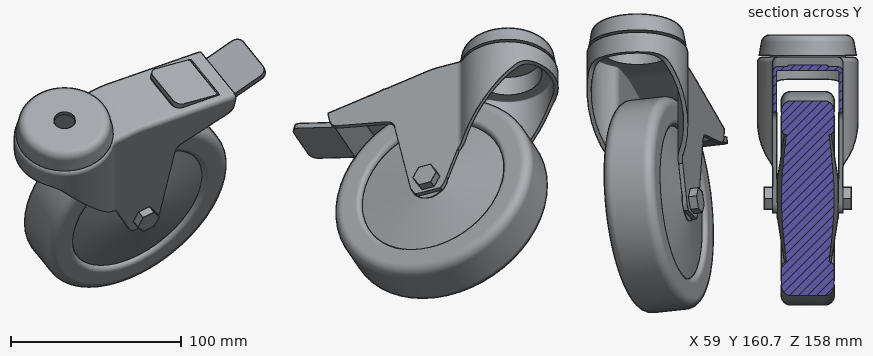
import cadquery as cq
import math


WHEEL_RADIUS = 62.5
WHEEL_OFFSET = 42.0
TYRE_HALF_WIDTH = 15.6
TYRE_ROUNDING = 5.75
RIM_RADIUS = 48.0
RIM_ROUNDING = 3.0
HUB_RADIUS = 11.5
DISH_HALF_WIDTH = 17.7

BOLT_RADIUS = 4.0
HEAD_ACROSS_FLATS = 13.0
HEAD_HEIGHT = 5.0

SHEET = 2.5
FORK_HALF_WIDTH = 20.5
FORK_TOP = 145.0
FORK_EDGE_ROUNDING = 3.0
HEAD_RADIUS = 29.5
HEAD_BLEND = 5.0
HEAD_SKIRT_Z = 132.0
SKIRT_ROUNDING = 12.0
FRONT_CUT_ANGLE = 51.0
FRONT_LEG_ANGLE = 21.0
REAR_LEG_ANGLE = 11.8
LEG_END_RADIUS = 11.5
LEG_BOTTOM_Z = 54.0
TOP_SLOPE = 10.8
TOP_BEND_Y = 39.0
TOP_BEND_RADIUS = 42.0
TAIL_LOWER_CORNER = (103.7, 120.4)
TAIL_ROUNDING = 6.0
ARMPIT_ROUNDING = 6.5

CAP_TOP = 158.0
CAP_BOTTOM = 146.0
CAP_RADIUS = 28.5
CAP_DRAFT = 10.0
CAP_ROUNDING = 5.0
NECK_RADIUS = 22.0
CAVITY_RADIUS = 20.0
CAP_ROOF = 2.5
MOUNT_HOLE_DIAMETER = 12.5

PEDAL_WIDTH = 31.2
PEDAL_SHEET = 3.5
PEDAL_CORNER = 5.0
LOCK_PEDAL_ANGLE = 15.0
RELEASE_PEDAL_ANGLE = 16.4
LINK_ANGLE = 36.0
LOCK_PEDAL_TIP_Y = 131.22
RELEASE_PEDAL_TIP_Y = 68.0
ROCKER_HEEL = (103.3, 123.1)
ROCKER_CREST = (96.1, 134.8)

BEYOND = 200.0

AXLE_Z = WHEEL_RADIUS
BLEND_CENTRE_X = FORK_HALF_WIDTH + HEAD_BLEND
BLEND_CENTRE_Y = math.sqrt((HEAD_RADIUS + HEAD_BLEND) ** 2 - BLEND_CENTRE_X**2)


def direction(angle):
    """Unit (y, z) vector at an angle in degrees from +Y toward +Z."""
    return math.cos(math.radians(angle)), math.sin(math.radians(angle))


def shifted(point, angle, distance):
    """The (y, z) point moved a distance along a direction."""
    dy, dz = direction(angle)
    return point[0] + distance * dy, point[1] + distance * dz


def crossing(p, p_angle, q, q_angle):
    """The (y, z) point where the line through p meets the line through q."""
    py, pz = direction(p_angle)
    qy, qz = direction(q_angle)
    along = ((q[0] - p[0]) * qz - (q[1] - p[1]) * qy) / (py * qz - pz * qy)
    return p[0] + along * py, p[1] + along * pz


def side_prism(points, width):
    """Prism with a (y, z) outline, centred on the YZ plane."""
    return cq.Workplane("YZ").polyline(points).close().extrude(width / 2, both=True)


def round_edge_near(body, point, radius):
    """Round the edge (and its smooth continuation) whose middle is nearest to a point."""
    return body.edges(cq.selectors.NearestToPointSelector(point)).fillet(radius)


def make_wheel():
    hub_half_width = FORK_HALF_WIDTH - SHEET
    rim_inner = RIM_RADIUS - RIM_ROUNDING
    rim_floor = TYRE_HALF_WIDTH - RIM_ROUNDING
    tread_half_width = TYRE_HALF_WIDTH - TYRE_ROUNDING
    arc_share = math.sqrt(0.5)
    rim_mid = (RIM_RADIUS - RIM_ROUNDING * arc_share, rim_floor + RIM_ROUNDING * arc_share)
    shoulder = WHEEL_RADIUS - TYRE_ROUNDING
    tyre_mid = (shoulder + TYRE_ROUNDING * arc_share, tread_half_width + TYRE_ROUNDING * arc_share)
    wheel = (
        cq.Workplane("XY")
        .moveTo(0, -hub_half_width)
        .lineTo(0, hub_half_width)
        .lineTo(HUB_RADIUS, hub_half_width)
        .lineTo(HUB_RADIUS, DISH_HALF_WIDTH)
        .lineTo(rim_inner, rim_floor)
        .threePointArc(rim_mid, (RIM_RADIUS, TYRE_HALF_WIDTH))
        .lineTo(shoulder, TYRE_HALF_WIDTH)
        .threePointArc(tyre_mid, (WHEEL_RADIUS, tread_half_width))
        .lineTo(WHEEL_RADIUS, -tread_half_width)
        .threePointArc((tyre_mid[0], -tyre_mid[1]), (shoulder, -TYRE_HALF_WIDTH))
        .lineTo(RIM_RADIUS, -TYRE_HALF_WIDTH)
        .threePointArc((rim_mid[0], -rim_mid[1]), (rim_inner, -rim_floor))
        .lineTo(HUB_RADIUS, -DISH_HALF_WIDTH)
        .lineTo(HUB_RADIUS, -hub_half_width)
        .close()
        .revolve(360, (0, 0, 0), (0, 1, 0))
    )
    return wheel.rotate((0, 0, 0), (0, 0, 1), -90).translate((0, WHEEL_OFFSET, AXLE_Z))


def make_axle_bolt():
    across_corners = HEAD_ACROSS_FLATS / math.cos(math.pi / 6)
    axle_plane = cq.Workplane("YZ", origin=(0, WHEEL_OFFSET, AXLE_Z))
    shank = axle_plane.circle(BOLT_RADIUS).extrude(FORK_HALF_WIDTH, both=True)
    head = axle_plane.workplane(offset=FORK_HALF_WIDTH).polygon(6, across_corners).extrude(HEAD_HEIGHT)
    return shank.union(head).union(head.mirror("YZ"))


def fork_envelope(inset):
    """Fork volume inside its sheet surface moved inward by inset, before the side outline is cut."""
    half_width = FORK_HALF_WIDTH - inset
    radius = HEAD_RADIUS - inset
    top = FORK_TOP - inset
    tangent_scale = radius / (HEAD_RADIUS + HEAD_BLEND)
    tangent_x = BLEND_CENTRE_X * tangent_scale
    tangent_y = BLEND_CENTRE_Y * tangent_scale
    blend_radius = HEAD_BLEND + inset
    toward_head = math.pi + math.atan2(BLEND_CENTRE_Y, BLEND_CENTRE_X)
    mid_angle = (math.pi + toward_head) / 2
    mid_x = BLEND_CENTRE_X + blend_radius * math.cos(mid_angle)
    mid_y = BLEND_CENTRE_Y + blend_radius * math.sin(mid_angle)
    plan = (
        cq.Workplane("XY")
        .moveTo(half_width, BEYOND)
        .lineTo(half_width, BLEND_CENTRE_Y)
        .threePointArc((mid_x, mid_y), (tangent_x, tangent_y))
        .threePointArc((0, -radius), (-tangent_x, tangent_y))
        .threePointArc((-mid_x, mid_y), (-half_width, BLEND_CENTRE_Y))
        .lineTo(-half_width, BEYOND)
        .close()
        .extrude(BEYOND)
    )
    bend = (TOP_BEND_Y - inset * math.tan(math.radians(TOP_SLOPE / 2)), top)
    slope_end = crossing(bend, -TOP_SLOPE, (BEYOND, 0), 90)
    below_top = side_prism([(-BEYOND, 0), (-BEYOND, top), bend, slope_end, (BEYOND, 0)], BEYOND)
    below_top = round_edge_near(below_top, (0, *bend), TOP_BEND_RADIUS - inset)
    return round_edge_near(plan.intersect(below_top), (0, -radius, top), FORK_EDGE_ROUNDING - inset)


def fork_side_outline():
    """Prism with the side outline of the fork: head skirt, legs around the axle, and brake tail."""
    axle = (WHEEL_OFFSET, AXLE_Z)
    rear_line = 90 - REAR_LEG_ANGLE
    front_line = 90 + FRONT_LEG_ANGLE
    rear_tangent = shifted(axle, rear_line - 90, LEG_END_RADIUS)
    front_tangent = shifted(axle, front_line + 90, LEG_END_RADIUS)
    leg_apex = crossing(rear_tangent, rear_line, front_tangent, front_line)
    knee = crossing(front_tangent, front_line, (BLEND_CENTRE_Y, 0), 90)
    skirt = crossing(knee, 180 - FRONT_CUT_ANGLE, (0, HEAD_SKIRT_Z), 0)
    armpit = crossing(TAIL_LOWER_CORNER, REAR_LEG_ANGLE, rear_tangent, rear_line)
    tail_top = crossing(TAIL_LOWER_CORNER, 90 - TOP_SLOPE, (0, BEYOND), 0)
    body = side_prism(
        [
            leg_apex,
            knee,
            skirt,
            (-BEYOND, HEAD_SKIRT_Z),
            (-BEYOND, BEYOND),
            tail_top,
            TAIL_LOWER_CORNER,
            armpit,
        ],
        BEYOND,
    )
    body = round_edge_near(body, (0, *leg_apex), LEG_END_RADIUS)
    body = round_edge_near(body, (0, *skirt), SKIRT_ROUNDING)
    body = round_edge_near(body, (0, *TAIL_LOWER_CORNER), TAIL_ROUNDING)
    body = round_edge_near(body, (0, *armpit), ARMPIT_ROUNDING)
    below_legs = cq.Workplane("XY").rect(BEYOND, BEYOND).extrude(LEG_BOTTOM_Z)
    return body.cut(below_legs)


def make_fork():
    return fork_envelope(0).cut(fork_envelope(SHEET)).intersect(fork_side_outline())


def make_swivel_cap():
    height = CAP_TOP - CAP_BOTTOM
    top_radius = CAP_RADIUS - height * math.tan(math.radians(CAP_DRAFT))
    cap = (
        cq.Workplane("XZ")
        .moveTo(0, CAP_BOTTOM)
        .lineTo(CAP_RADIUS, CAP_BOTTOM)
        .lineTo(top_radius, CAP_TOP)
        .lineTo(0, CAP_TOP)
        .close()
        .revolve(360, (0, 0, 0), (0, 1, 0))
    )
    cap = cap.faces(">Z").edges().fillet(CAP_ROUNDING)
    neck_bottom = FORK_TOP - SHEET
    neck_plane = cq.Workplane("XY").workplane(offset=neck_bottom)
    neck = neck_plane.circle(NECK_RADIUS).extrude(CAP_BOTTOM - neck_bottom)
    return cap.union(neck)


def make_swivel_bore():
    """Cavity open to the inside of the fork, with the mounting hole through its roof."""
    bottom = cq.Workplane("XY").workplane(offset=FORK_TOP - SHEET)
    cavity = bottom.circle(CAVITY_RADIUS).extrude(CAP_TOP - CAP_ROOF - FORK_TOP + SHEET)
    hole = bottom.circle(MOUNT_HOLE_DIAMETER / 2).extrude(CAP_TOP - FORK_TOP + SHEET)
    return cavity.union(hole)


def make_brake_rocker():
    lock_line = LOCK_PEDAL_ANGLE
    release_line = -RELEASE_PEDAL_ANGLE
    link_line = -LINK_ANGLE
    lock_tip_low = crossing(ROCKER_HEEL, lock_line, (LOCK_PEDAL_TIP_Y, 0), 90)
    lock_tip_high = shifted(lock_tip_low, lock_line + 90, PEDAL_SHEET)
    lock_root = crossing(lock_tip_high, lock_line, ROCKER_CREST, link_line)
    release_tip_high = crossing(ROCKER_CREST, release_line, (RELEASE_PEDAL_TIP_Y, 0), 90)
    release_tip_low = shifted(release_tip_high, release_line - 90, PEDAL_SHEET)
    release_root = crossing(release_tip_low, release_line, ROCKER_HEEL, link_line)
    rocker = side_prism(
        [
            ROCKER_HEEL,
            lock_tip_low,
            lock_tip_high,
            lock_root,
            ROCKER_CREST,
            release_tip_high,
            release_tip_low,
            release_root,
        ],
        PEDAL_WIDTH,
    )
    for tip_low, tip_high in ((lock_tip_low, lock_tip_high), (release_tip_low, release_tip_high)):
        middle_y = (tip_low[0] + tip_high[0]) / 2
        middle_z = (tip_low[1] + tip_high[1]) / 2
        for x in (-PEDAL_WIDTH / 2, PEDAL_WIDTH / 2):
            rocker = round_edge_near(rocker, (x, middle_y, middle_z), PEDAL_CORNER)
    return rocker


swivel_head = make_fork().union(make_swivel_cap()).cut(make_swivel_bore())
result = swivel_head.union(make_brake_rocker()).union(make_wheel()).union(make_axle_bolt())